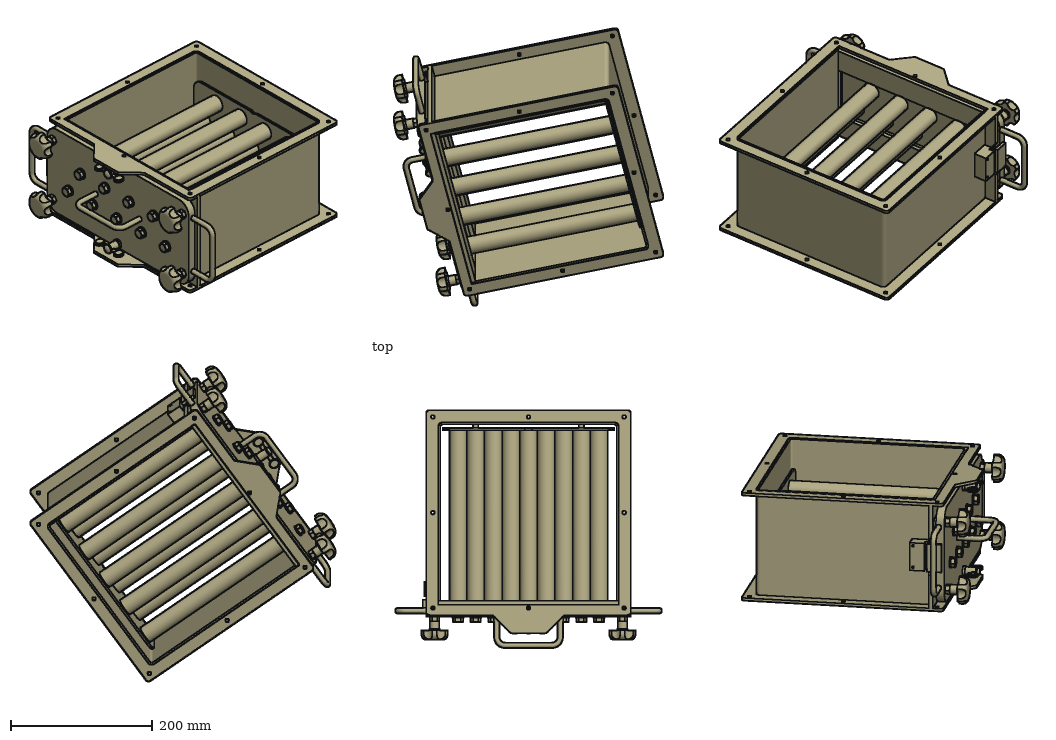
import cadquery as cq
import math

OVERALL_WIDTH = 378.0
HOUSING_HEIGHT = 160.0
FLANGE_SIDE = 290.3
FLANGE_THICKNESS = 4.0
FLANGE_CORNER_RADIUS = 5.0
FLANGE_HOLE_DIAMETER = 5.0
FLANGE_HOLE_EDGE = 10.0
TONGUE_BASE_WIDTH = 102.0
TONGUE_TIP_WIDTH = 50.0
TONGUE_LENGTH = 26.0

WALL_SPAN = 255.5
WALL_THICKNESS = 3.0
WALL_BEND_RADIUS = 6.0
WALL_RECESS = 1.0

FRAME_THICKNESS = 6.0
FRAME_FRONT_Y = -130.8
NOTCH_OUTER_HEIGHT = 54.5
NOTCH_INNER_HEIGHT = 41.5
NOTCH_DEPTH = 5.5

GASKET_WIDTH = 276.0
GASKET_HEIGHT = 108.0
GASKET_THICKNESS = 4.5
GASKET_STRIP = 13.0
GASKET_CORNER_RADIUS = 8.7
OPENING_CORNER_RADIUS = 3.8

DOOR_HEIGHT = 140.5
DOOR_THICKNESS = 12.0
DOOR_CORNER_RADIUS = 19.5

TUBE_DIAMETER = 25.0
TUBE_PITCH = 50.0
TUBE_ROW_Z = 20.0
UPPER_ROW_COUNT = 4
LOWER_ROW_COUNT = 5

BACK_PLATE_WIDTH = 242.5
BACK_PLATE_HEIGHT = 79.5
BACK_PLATE_THICKNESS = 3.0
BACK_PLATE_REAR_Y = 120.0
BACK_PLATE_CORNER_RADIUS = 15.0
BACK_PLATE_DIMPLE_RADIUS = 8.0
BACK_PLATE_DIMPLE_DEPTH = 2.0
STOP_PIN_DIAMETER = 8.0
STOP_PIN_X = 1.5 * TUBE_PITCH

WASHER_DIAMETER = 16.0
WASHER_THICKNESS = 2.0
NUT_FLATS = 13.0
NUT_LENGTH = 6.0
NUT_CHAMFER_DIAMETER = 12.5
NUT_CHAMFER_LENGTH = 0.8

HANDLE_ROD_DIAMETER = 8.0
HANDLE_PITCH = 90.0
HANDLE_REACH = 44.5
HANDLE_BEND_RADIUS = 11.7
SIDE_HANDLE_Y = -139.0

KNOB_X = 133.0
KNOB_Z = 50.0
KNOB_DIAMETER = 40.0
KNOB_LENGTH = 13.2
KNOB_STRAIGHT_LENGTH = 5.3
KNOB_FACE_DIAMETER = 20.8
KNOB_LOBES = 6
FLUTE_RADIUS = 9.0
FLUTE_CENTRE_RADIUS = 24.5
KNOB_NECK_DIAMETER = 14.0
KNOB_NECK_LENGTH = 10.5
KNOB_COLLAR_DIAMETER = 16.0
KNOB_COLLAR_LENGTH = 2.5
KNOB_NUT_FLATS = 12.0
KNOB_NUT_LENGTH = 6.5

WING_NUT_Z = 63.0
WING_BASE_DIAMETER = 14.0
WING_BASE_LENGTH = 3.5
WING_HUB_DIAMETER = 12.0
WING_CAP_DIAMETER = 14.0
WING_CAP_RIM = 2.0
WING_CAP_RISE = 3.5
WING_NUT_LENGTH = 24.2
WING_SPAN = 51.8
WING_PADDLE_LENGTH = 13.0
WING_PADDLE_WIDTH = 15.0
WING_PADDLE_THICKNESS = 4.5
WING_PADDLE_CHAMFER = 1.0
WING_ARM_THICKNESS = 2.0
WING_ARM_WIDTH = 6.0
WING_SETBACK = 7.0
WING_TILT = 1.4

SWITCH_HEIGHT = 41.0
SWITCH_REAR_Y = -98.0
SWITCH_LENGTH = 20.8
SWITCH_DEPTH = 19.5
SWITCH_STEP_DEPTH = 11.5
SWITCH_HOLE_DIAMETER = 2.45
SWITCH_HOLE_DEPTH = 3.8
SWITCH_HOLE_REAR_OFFSET = 4.5
SWITCH_HOLE_SPACING = 31.8
ACTUATOR_GAP = 4.5
ACTUATOR_FRONT_Y = -143.5
ACTUATOR_THICKNESS = 5.0

FLANGE_HALF = FLANGE_SIDE / 2
WALL_HALF = WALL_SPAN / 2
WALL_INNER_HALF = WALL_HALF - WALL_THICKNESS
FLANGE_INNER_Z = HOUSING_HEIGHT / 2 - FLANGE_THICKNESS
FRAME_REAR_Y = FRAME_FRONT_Y + FRAME_THICKNESS
DOOR_REAR_Y = FRAME_FRONT_Y - GASKET_THICKNESS
DOOR_FRONT_Y = DOOR_REAR_Y - DOOR_THICKNESS
BACK_PLATE_FRONT_Y = BACK_PLATE_REAR_Y - BACK_PLATE_THICKNESS
OPENING_WIDTH = GASKET_WIDTH - 2 * GASKET_STRIP
OPENING_HEIGHT = GASKET_HEIGHT - 2 * GASKET_STRIP


def box_between(x_range, y_range, z_range):
    """Axis-aligned block between pairs of coordinates."""
    size = [high - low for low, high in (x_range, y_range, z_range)]
    return cq.Workplane("XY").box(*size, centered=False).translate((x_range[0], y_range[0], z_range[0]))


def facing_front(y):
    """Workplane at depth y whose normal points forward (-Y), with local axes X and Z."""
    return cq.Workplane("XZ", origin=(0, y, 0))


def rounded_plate(width, height, radius, rear_y, thickness):
    """Upright plate with rounded corners that extends forward from rear_y."""
    return facing_front(rear_y).rect(width, height).extrude(thickness).edges("|Y").fillet(radius)


def make_opening(rear_y, thickness):
    """Cutter for the drawer opening, extending forward from rear_y."""
    return rounded_plate(OPENING_WIDTH, OPENING_HEIGHT, OPENING_CORNER_RADIUS, rear_y, thickness)


def row_positions(count):
    """X places of one row of tubes, centred on the part."""
    return [(index - (count - 1) / 2) * TUBE_PITCH for index in range(count)]


TUBE_POINTS = [(x, TUBE_ROW_Z) for x in row_positions(UPPER_ROW_COUNT)]
TUBE_POINTS += [(x, -TUBE_ROW_Z) for x in row_positions(LOWER_ROW_COUNT)]


def make_flange():
    """Square ring with a tapered tongue at the front, its lower face at z = 0."""
    outline = [
        (-FLANGE_HALF, FLANGE_HALF),
        (-FLANGE_HALF, -FLANGE_HALF),
        (-TONGUE_BASE_WIDTH / 2, -FLANGE_HALF),
        (-TONGUE_TIP_WIDTH / 2, -FLANGE_HALF - TONGUE_LENGTH),
        (TONGUE_TIP_WIDTH / 2, -FLANGE_HALF - TONGUE_LENGTH),
        (TONGUE_BASE_WIDTH / 2, -FLANGE_HALF),
        (FLANGE_HALF, -FLANGE_HALF),
        (FLANGE_HALF, FLANGE_HALF),
    ]
    plate = cq.Workplane("XY").polyline(outline).close().extrude(FLANGE_THICKNESS)
    plate = plate.edges("|Z").fillet(FLANGE_CORNER_RADIUS)
    opening = box_between((-WALL_HALF, WALL_HALF), (FRAME_FRONT_Y, WALL_HALF), (0, FLANGE_THICKNESS))
    opening = opening.edges("|Z and >Y").fillet(WALL_BEND_RADIUS)
    hole_pitch = FLANGE_HALF - FLANGE_HOLE_EDGE
    steps = (-hole_pitch, 0, hole_pitch)
    points = [(x, y) for x in steps for y in steps if (x, y) != (0, 0)]
    holes = cq.Workplane("XY").pushPoints(points).circle(FLANGE_HOLE_DIAMETER / 2).extrude(FLANGE_THICKNESS)
    return plate.cut(opening).cut(holes)


def make_walls():
    """U-shaped sheet wall, open at the front, with two bent rear corners."""
    half_height = HOUSING_HEIGHT / 2 - WALL_RECESS
    z_range = (-half_height, half_height)
    outer = box_between((-WALL_HALF, WALL_HALF), (FRAME_REAR_Y, WALL_HALF), z_range)
    outer = outer.edges("|Z and >Y").fillet(WALL_BEND_RADIUS)
    inner = box_between(
        (-WALL_INNER_HALF, WALL_INNER_HALF), (FRAME_REAR_Y, WALL_INNER_HALF), z_range
    )
    inner = inner.edges("|Z and >Y").fillet(WALL_BEND_RADIUS - WALL_THICKNESS)
    return outer.cut(inner)


def make_front_frame():
    """Front plate between the flanges, with the drawer opening and a notch at the switch."""
    frame = facing_front(FRAME_REAR_Y).rect(FLANGE_SIDE, 2 * FLANGE_INNER_Z).extrude(FRAME_THICKNESS)
    opening = make_opening(FRAME_REAR_Y, FRAME_THICKNESS)
    notch_outline = [
        (-FLANGE_HALF, NOTCH_OUTER_HEIGHT / 2),
        (-FLANGE_HALF, -NOTCH_OUTER_HEIGHT / 2),
        (-FLANGE_HALF + NOTCH_DEPTH, -NOTCH_INNER_HEIGHT / 2),
        (-FLANGE_HALF + NOTCH_DEPTH, NOTCH_INNER_HEIGHT / 2),
    ]
    notch = facing_front(FRAME_REAR_Y).polyline(notch_outline).close().extrude(FRAME_THICKNESS)
    return frame.cut(opening).cut(notch)


def make_housing():
    upper_flange = make_flange().translate((0, 0, FLANGE_INNER_Z))
    lower_flange = upper_flange.mirror("XY")
    return make_walls().union(make_front_frame()).union(upper_flange).union(lower_flange)


def make_gasket():
    ring = rounded_plate(GASKET_WIDTH, GASKET_HEIGHT, GASKET_CORNER_RADIUS, FRAME_FRONT_Y, GASKET_THICKNESS)
    opening = make_opening(FRAME_FRONT_Y, GASKET_THICKNESS)
    return ring.cut(opening)


def make_back_plate():
    """Plate across the rear ends of the tubes, with two stop pins that reach the rear wall."""
    plate = rounded_plate(
        BACK_PLATE_WIDTH,
        BACK_PLATE_HEIGHT,
        BACK_PLATE_CORNER_RADIUS,
        BACK_PLATE_REAR_Y,
        BACK_PLATE_THICKNESS,
    )
    dimple_z = BACK_PLATE_HEIGHT / 2 + BACK_PLATE_DIMPLE_RADIUS - BACK_PLATE_DIMPLE_DEPTH
    dimple = (
        facing_front(BACK_PLATE_REAR_Y)
        .center(0, dimple_z)
        .circle(BACK_PLATE_DIMPLE_RADIUS)
        .extrude(BACK_PLATE_THICKNESS)
    )
    pins = (
        facing_front(WALL_INNER_HALF)
        .pushPoints([(-STOP_PIN_X, TUBE_ROW_Z), (STOP_PIN_X, TUBE_ROW_Z)])
        .circle(STOP_PIN_DIAMETER / 2)
        .extrude(WALL_INNER_HALF - BACK_PLATE_REAR_Y)
    )
    return plate.cut(dimple).union(pins)


def make_tube_nut():
    """Washer and chamfered hexagon nut that stand forward from y = 0."""
    washer = facing_front(0).circle(WASHER_DIAMETER / 2).extrude(WASHER_THICKNESS)
    corner_diameter = NUT_FLATS / math.cos(math.pi / 6)
    nut = facing_front(-WASHER_THICKNESS).polygon(6, corner_diameter).extrude(NUT_LENGTH)
    corner_radius = corner_diameter / 2
    chamfered = (
        cq.Workplane("XY")
        .moveTo(0, 0)
        .lineTo(corner_radius, 0)
        .lineTo(corner_radius, -WASHER_THICKNESS - NUT_LENGTH + NUT_CHAMFER_LENGTH)
        .lineTo(NUT_CHAMFER_DIAMETER / 2, -WASHER_THICKNESS - NUT_LENGTH)
        .lineTo(0, -WASHER_THICKNESS - NUT_LENGTH)
        .close()
        .revolve(360, (0, 0), (0, 1))
    )
    return washer.union(nut.intersect(chamfered))


def make_handle():
    """Bent rod in the XY plane with its feet on y = 0 and its bar towards -Y."""
    half = HANDLE_PITCH / 2
    bar_y = -(HANDLE_REACH - HANDLE_ROD_DIAMETER / 2)
    bend = HANDLE_BEND_RADIUS
    arc_inset = bend * (1 - math.sqrt(0.5))
    path = (
        cq.Workplane("XY")
        .moveTo(-half, 0)
        .lineTo(-half, bar_y + bend)
        .threePointArc((-half + arc_inset, bar_y + arc_inset), (-half + bend, bar_y))
        .lineTo(half - bend, bar_y)
        .threePointArc((half - arc_inset, bar_y + arc_inset), (half, bar_y + bend))
        .lineTo(half, 0)
    )
    return facing_front(0).center(-half, 0).circle(HANDLE_ROD_DIAMETER / 2).sweep(path)


def make_knob():
    """Lobed knob on a flared neck and a hexagon nut, standing forward from y = 0."""
    nut_corner_diameter = KNOB_NUT_FLATS / math.cos(math.pi / 6)
    nut = facing_front(0).polygon(6, nut_corner_diameter).extrude(KNOB_NUT_LENGTH)
    neck = facing_front(-KNOB_NUT_LENGTH).circle(KNOB_NECK_DIAMETER / 2).extrude(KNOB_NECK_LENGTH)
    collar_y = -KNOB_NUT_LENGTH - KNOB_NECK_LENGTH
    collar = (
        facing_front(collar_y)
        .circle(KNOB_NECK_DIAMETER / 2)
        .workplane(offset=KNOB_COLLAR_LENGTH)
        .circle(KNOB_COLLAR_DIAMETER / 2)
        .loft(ruled=True)
    )
    rear_y = collar_y - KNOB_COLLAR_LENGTH
    front_y = rear_y - KNOB_LENGTH
    shoulder_y = rear_y - KNOB_STRAIGHT_LENGTH
    outer = KNOB_DIAMETER / 2
    face = KNOB_FACE_DIAMETER / 2
    dome_rise = shoulder_y - front_y
    dome_middle = (face + (outer - face) * math.sqrt(0.5), front_y + dome_rise * (1 - math.sqrt(0.5)))
    head = (
        cq.Workplane("XY")
        .moveTo(0, rear_y)
        .lineTo(outer, rear_y)
        .lineTo(outer, shoulder_y)
        .threePointArc(dome_middle, (face, front_y))
        .lineTo(0, front_y)
        .close()
        .revolve(360, (0, 0), (0, 1))
    )
    flutes = (
        facing_front(rear_y)
        .polarArray(FLUTE_CENTRE_RADIUS, 0, 360, KNOB_LOBES)
        .circle(FLUTE_RADIUS)
        .extrude(KNOB_LENGTH)
    )
    return nut.union(neck).union(collar).union(head.cut(flutes))


def make_wing(side):
    """One wing of a wing nut: a flat oval paddle on a thin arm; side is -1 or 1."""
    wing_y = -WING_NUT_LENGTH + WING_SETBACK
    paddle_x = side * (WING_SPAN - WING_PADDLE_LENGTH) / 2
    paddle = (
        cq.Workplane("XY", origin=(paddle_x, wing_y, -WING_PADDLE_THICKNESS / 2))
        .ellipse(WING_PADDLE_LENGTH / 2, WING_PADDLE_WIDTH / 2)
        .extrude(WING_PADDLE_THICKNESS)
        .edges()
        .chamfer(WING_PADDLE_CHAMFER)
    )
    arm = (
        cq.Workplane("XY")
        .box(abs(paddle_x), WING_ARM_WIDTH, WING_ARM_THICKNESS)
        .translate((paddle_x / 2, wing_y, 0))
    )
    return paddle.union(arm)


def make_wing_nut():
    """Hub between a base disc and a domed cap, with two wings, standing forward from y = 0."""
    base = WING_BASE_DIAMETER / 2
    hub = WING_HUB_DIAMETER / 2
    cap = WING_CAP_DIAMETER / 2
    rim_front_y = WING_CAP_RISE - WING_NUT_LENGTH
    rim_rear_y = rim_front_y + WING_CAP_RIM
    dome_radius = (cap**2 + WING_CAP_RISE**2) / (2 * WING_CAP_RISE)
    dome_middle_angle = math.asin(cap / dome_radius) / 2
    dome_middle = (
        dome_radius * math.sin(dome_middle_angle),
        -WING_NUT_LENGTH + dome_radius * (1 - math.cos(dome_middle_angle)),
    )
    body = (
        cq.Workplane("XY")
        .moveTo(0, 0)
        .lineTo(base, 0)
        .lineTo(base, -WING_BASE_LENGTH)
        .lineTo(hub, -WING_BASE_LENGTH)
        .lineTo(hub, rim_rear_y)
        .lineTo(cap, rim_rear_y)
        .lineTo(cap, rim_front_y)
        .threePointArc(dome_middle, (0, -WING_NUT_LENGTH))
        .close()
        .revolve(360, (0, 0), (0, 1))
    )
    wings = make_wing(-1).union(make_wing(1)).rotate((0, 0, 0), (0, 1, 0), WING_TILT)
    return body.union(wings)


def make_drawer():
    drawer = rounded_plate(FLANGE_SIDE, DOOR_HEIGHT, DOOR_CORNER_RADIUS, DOOR_REAR_Y, DOOR_THICKNESS)
    tubes = (
        facing_front(BACK_PLATE_FRONT_Y)
        .pushPoints(TUBE_POINTS)
        .circle(TUBE_DIAMETER / 2)
        .extrude(BACK_PLATE_FRONT_Y - DOOR_REAR_Y)
    )
    drawer = drawer.union(tubes).union(make_back_plate())
    for x, z in TUBE_POINTS:
        drawer = drawer.union(make_tube_nut().translate((x, DOOR_FRONT_Y, z)))
    for x in (-KNOB_X, KNOB_X):
        for z in (-KNOB_Z, KNOB_Z):
            drawer = drawer.union(make_knob().translate((x, DOOR_FRONT_Y, z)))
    for z in (-WING_NUT_Z, WING_NUT_Z):
        drawer = drawer.union(make_wing_nut().translate((0, DOOR_FRONT_Y, z)))
    drawer = drawer.union(make_handle().translate((0, DOOR_FRONT_Y, 0)))
    side_handle_foot_x = OVERALL_WIDTH / 2 - HANDLE_REACH
    upright_handle = make_handle().rotate((0, 0, 0), (0, 1, 0), 90)
    for side in (-1, 1):
        side_handle = upright_handle.rotate((0, 0, 0), (0, 0, 1), side * 90)
        drawer = drawer.union(side_handle.translate((side * side_handle_foot_x, SIDE_HANDLE_Y, 0)))
    return drawer


def make_switch():
    """Block on the left housing wall with two blind screw holes and a lower step at the front."""
    z_range = (-SWITCH_HEIGHT / 2, SWITCH_HEIGHT / 2)
    outer_x = -WALL_HALF - SWITCH_DEPTH
    y_range = (SWITCH_REAR_Y - SWITCH_LENGTH, SWITCH_REAR_Y)
    block = box_between((outer_x, -WALL_HALF), y_range, z_range)
    step_y_range = (y_range[0] - ACTUATOR_GAP, y_range[0])
    step = box_between((-WALL_HALF - SWITCH_STEP_DEPTH, -WALL_HALF), step_y_range, z_range)
    hole_y = SWITCH_REAR_Y - SWITCH_HOLE_REAR_OFFSET
    holes = (
        cq.Workplane("YZ", origin=(outer_x, hole_y, 0))
        .rarray(3.8, SWITCH_HOLE_SPACING, 1, 2)
        .circle(SWITCH_HOLE_DIAMETER / 2)
        .extrude(SWITCH_HOLE_DEPTH)
    )
    return block.union(step).cut(holes)


def make_actuator():
    """Plate on the left edge of the door that reaches back towards the switch."""
    rear_y = SWITCH_REAR_Y - SWITCH_LENGTH - ACTUATOR_GAP
    return box_between(
        (-FLANGE_HALF - ACTUATOR_THICKNESS, -FLANGE_HALF),
        (ACTUATOR_FRONT_Y, rear_y),
        (-SWITCH_HEIGHT / 2, SWITCH_HEIGHT / 2),
    )


housing = make_housing()
gasket = make_gasket()
drawer = make_drawer()
switch = make_switch()
actuator = make_actuator()

result = cq.Compound.makeCompound(
    [body.solids().val() for body in (housing, gasket, drawer, switch, actuator)]
)